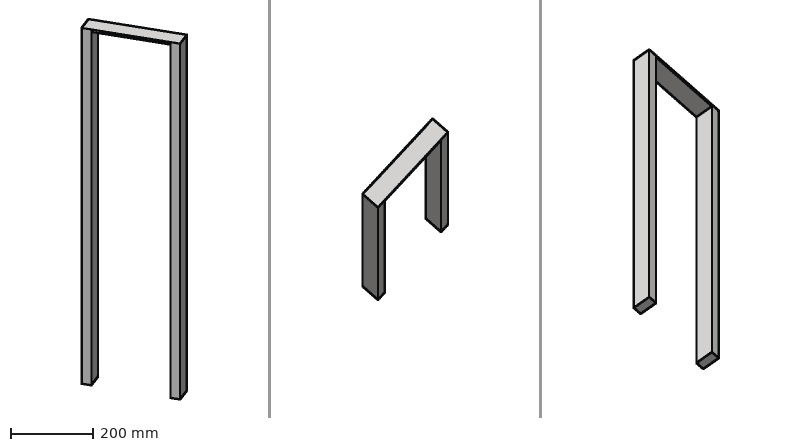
import cadquery as cq

width = 254.0
depth = 51.0
height = 972.0

leg_width = 25.0
top_thickness = 7.0

block = cq.Workplane("XY").box(width, depth, height, centered=(True, True, False))

opening = cq.Workplane("XY").box(
    width - 2 * leg_width,
    depth,
    height - top_thickness,
    centered=(True, True, False),
)

result = block.cut(opening)